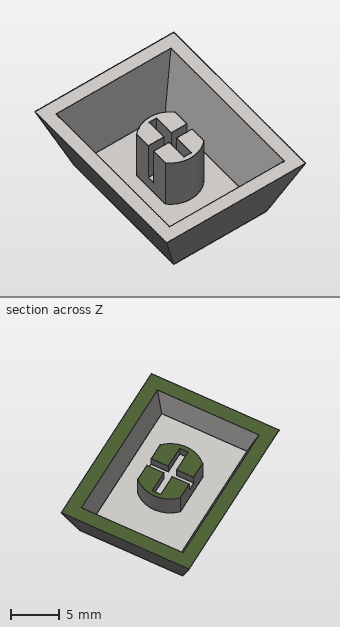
import cadquery as cq

top_length = 22.5
top_width = 18.0
base_length = 17.0
base_width = 12.0
height = 8.0

rim = 1.58
floor_thickness = 1.5
cavity_top_length = top_length - 2 * rim
cavity_top_width = top_width - 2 * rim
cavity_depth = height - floor_thickness
depth_ratio = cavity_depth / height
cavity_base_length = cavity_top_length - (top_length - base_length) * depth_ratio
cavity_base_width = cavity_top_width - (top_width - base_width) * depth_ratio

post_diameter = 7.0
post_across_flats = 5.0
post_height = cavity_depth
socket_length = 5.95
socket_slot_width = 0.95
cross_slot_width = 0.9
socket_depth = 5.0


def frustum(base_z, depth, lower_size, upper_size):
    """Rectangular frustum centred on the Z axis."""
    return (
        cq.Workplane("XY", origin=(0, 0, base_z))
        .rect(*lower_size)
        .workplane(offset=depth)
        .rect(*upper_size)
        .loft(ruled=True)
    )


def post_top_block(length, width, depth):
    """Rectangular block reaching down from the top of the post."""
    return (
        cq.Workplane("XY", origin=(0, 0, floor_thickness + post_height - depth))
        .rect(length, width)
        .extrude(depth)
    )


def make_tray():
    body = frustum(0, height, (base_length, base_width), (top_length, top_width))
    cavity = frustum(
        floor_thickness,
        cavity_depth,
        (cavity_base_length, cavity_base_width),
        (cavity_top_length, cavity_top_width),
    )
    return body.cut(cavity)


def make_post():
    post = (
        cq.Workplane("XY", origin=(0, 0, floor_thickness))
        .circle(post_diameter / 2)
        .extrude(post_height)
        .intersect(post_top_block(post_diameter, post_across_flats, post_height))
    )
    long_slot = post_top_block(socket_length, socket_slot_width, socket_depth)
    cross_slot = post_top_block(cross_slot_width, post_across_flats, socket_depth)
    return post.cut(long_slot).cut(cross_slot)


result = make_tray().union(make_post())